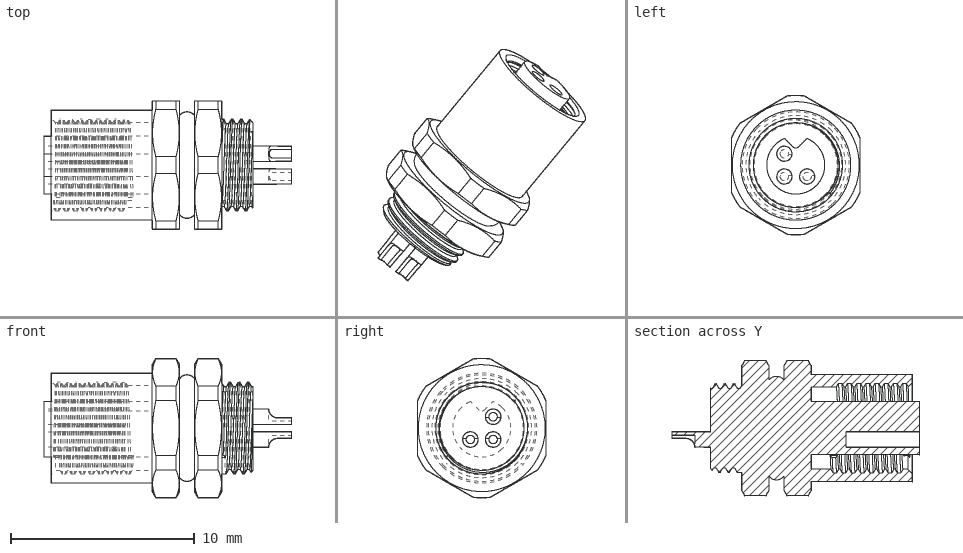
import cadquery as cq
import math


INSERT_FRONT = 0.0
BODY_FRONT = 0.4
FLANGE_FRONT = 5.9
HEX_WIDTH = 1.5
FLANGE_BACK = FLANGE_FRONT + HEX_WIDTH
SEAL_GAP = 0.8
NUT_FRONT = FLANGE_BACK + SEAL_GAP
NUT_BACK = NUT_FRONT + HEX_WIDTH
SHANK_BACK = 11.4
CUP_FRONT = 12.25
CONTACT_BACK = 13.5

BODY_RADIUS = 3.0
BORE_RADIUS = 2.31
BORE_FLOOR = FLANGE_FRONT
BORE_CHAMFER = 0.24

HEX_ACROSS_FLATS = 7.0
HEX_CORNER_RADIUS = 3.805
HEX_CHAMFER_LENGTH = 0.2
HEX_CHAMFER_ANGLE = 60.0

SEAL_SECTION_RADIUS = 0.5
SEAL_OUTER_RADIUS = 2.91

THREAD_RADIUS = 2.5
THREAD_PITCH = 0.5
THREAD_DEPTH = 0.235
THREAD_CREST = 0.09
THREAD_HALF_ANGLE = 30.0
REAR_THREAD_TURNS = 3.5
THREAD_START_ANGLE = -50.0
FRONT_THREAD_TURNS = 8
FRONT_THREAD_LEAD_IN = 0.27
SHANK_CHAMFER = 0.2

INSERT_RADIUS = 1.58
KEY_APEX_Z = 0.84
KEY_BOTTOM_RADIUS = 0.22
SOCKET_RADIUS = 0.41
SOCKET_DEPTH = 4.0

CONTACT_RADIUS = 0.425
CONTACT_OFFSET = 0.62
CONTACTS = [
    (CONTACT_OFFSET, CONTACT_OFFSET),
    (CONTACT_OFFSET, -CONTACT_OFFSET),
    (-CONTACT_OFFSET, -CONTACT_OFFSET),
]
CUP_RADIUS = 0.23
CUP_FLOOR_DROP = 0.055

OVERLAP = 0.5


def cylinder(x_start, x_end, radius, y=0.0, z=0.0):
    """Solid cylinder parallel to X."""
    return cq.Workplane("YZ", origin=(x_start, y, z)).circle(radius).extrude(x_end - x_start)


def revolve_about_x(points):
    """Turn a closed (x, radius) outline around the X axis."""
    return cq.Workplane("XY").polyline(points).close().revolve(360, (0, 0, 0), (1, 0, 0))


def thread_cutter(x_start, turns, open_radius, tip_radius):
    """Left-hand helical groove cutter, widest at open_radius and narrowing to tip_radius."""
    slope = math.tan(math.radians(THREAD_HALF_ANGLE))
    outward = math.copysign(1, open_radius - tip_radius)
    clear_radius = open_radius + outward * THREAD_CREST / 2
    open_half = (THREAD_PITCH - THREAD_CREST) / 2
    tip_half = open_half - abs(open_radius - tip_radius) * slope
    clear_half = open_half + abs(clear_radius - open_radius) * slope
    path = cq.Wire.makeHelix(THREAD_PITCH, turns * THREAD_PITCH, open_radius, lefthand=True)
    profile = cq.Workplane("XZ").polyline([
        (tip_radius, -tip_half),
        (clear_radius, -clear_half),
        (clear_radius, clear_half),
        (tip_radius, tip_half),
    ]).close()
    groove = profile.sweep(cq.Workplane(path), isFrenet=True)
    groove = groove.rotate((0, 0, 0), (0, 1, 0), 90)
    return groove.rotate((0, 0, 0), (1, 0, 0), THREAD_START_ANGLE).translate((x_start, 0, 0))


def hexagon(x_start):
    """Hexagon with corners at +Z and -Z, rounded corners and both faces chamfered by a cone."""
    x_end = x_start + HEX_WIDTH
    corner_diameter = HEX_ACROSS_FLATS / math.cos(math.radians(30))
    prism = cq.Workplane("YZ", origin=(x_start, 0, 0)).polygon(6, corner_diameter).extrude(HEX_WIDTH)
    prism = prism.rotate((0, 0, 0), (1, 0, 0), 30)
    face_radius = HEX_CORNER_RADIUS - HEX_CHAMFER_LENGTH * math.tan(math.radians(HEX_CHAMFER_ANGLE))
    envelope = revolve_about_x([
        (x_start, 0),
        (x_start, face_radius),
        (x_start + HEX_CHAMFER_LENGTH, HEX_CORNER_RADIUS),
        (x_end - HEX_CHAMFER_LENGTH, HEX_CORNER_RADIUS),
        (x_end, face_radius),
        (x_end, 0),
    ])
    return prism.intersect(envelope)


def front_body():
    """Sleeve with an internally threaded, chamfered bore."""
    mouth_radius = BORE_RADIUS + BORE_CHAMFER
    bore = revolve_about_x([
        (BODY_FRONT, 0),
        (BODY_FRONT, mouth_radius),
        (BODY_FRONT + BORE_CHAMFER, BORE_RADIUS),
        (BORE_FLOOR, BORE_RADIUS),
        (BORE_FLOOR, 0),
    ])
    thread = thread_cutter(
        BODY_FRONT + FRONT_THREAD_LEAD_IN, FRONT_THREAD_TURNS, BORE_RADIUS, THREAD_RADIUS
    )
    return cylinder(BODY_FRONT, FLANGE_FRONT, BODY_RADIUS).cut(bore).cut(thread)


def threaded_shank():
    """Shank through the seal and the nut, with the thread that shows behind the nut."""
    shank = revolve_about_x([
        (FLANGE_FRONT, 0),
        (FLANGE_FRONT, THREAD_RADIUS),
        (SHANK_BACK - SHANK_CHAMFER, THREAD_RADIUS),
        (SHANK_BACK, THREAD_RADIUS - SHANK_CHAMFER),
        (SHANK_BACK, 0),
    ])
    thread = thread_cutter(
        NUT_BACK, REAR_THREAD_TURNS, THREAD_RADIUS, THREAD_RADIUS - THREAD_DEPTH
    )
    return shank.cut(thread)


def seal():
    """O-ring centred in the gap and slightly flattened by both faces."""
    center_x = (FLANGE_BACK + NUT_FRONT) / 2
    center_radius = SEAL_OUTER_RADIUS - SEAL_SECTION_RADIUS
    section = cq.Workplane("XY").center(center_x, center_radius).circle(SEAL_SECTION_RADIUS)
    return section.revolve(360, (0, -center_radius, 0), (1, -center_radius, 0))


def insert():
    """Insulator with a V-shaped keyway on top and one blind socket per contact."""
    body = cylinder(INSERT_FRONT, FLANGE_BACK, INSERT_RADIUS)
    keyway = (
        cq.Workplane("YZ")
        .moveTo(0, KEY_APEX_Z)
        .line(INSERT_RADIUS, INSERT_RADIUS)
        .line(-2 * INSERT_RADIUS, 0)
        .close()
        .extrude(BORE_FLOOR)
    )
    keyway = keyway.edges("|X and <Z").fillet(KEY_BOTTOM_RADIUS)
    body = body.cut(keyway)
    for y, z in CONTACTS:
        body = body.cut(cylinder(INSERT_FRONT, SOCKET_DEPTH, SOCKET_RADIUS, y, z))
    return body


def contact(y, z):
    """Rear contact pin with a solder cup opened on the side away from the XY plane."""
    side = math.copysign(1, z)
    pin = cylinder(SHANK_BACK - OVERLAP, CONTACT_BACK, CONTACT_RADIUS, y, z)
    pin = pin.cut(cylinder(CUP_FRONT, CONTACT_BACK, CUP_RADIUS, y, z))
    floor_z = z - side * CUP_FLOOR_DROP
    top_z = z + side * CONTACT_RADIUS
    run_in_radius = CONTACT_RADIUS + CUP_FLOOR_DROP
    floor_x = CUP_FRONT + run_in_radius
    diagonal = run_in_radius * math.cos(math.radians(45))
    opening = (
        cq.Workplane("XZ", origin=(0, y, 0))
        .moveTo(CUP_FRONT, top_z)
        .threePointArc((floor_x - diagonal, top_z - side * diagonal), (floor_x, floor_z))
        .lineTo(CONTACT_BACK, floor_z)
        .lineTo(CONTACT_BACK, top_z)
        .close()
        .extrude(CONTACT_RADIUS, both=True)
    )
    return pin.cut(opening)


result = threaded_shank()
result = result.union(hexagon(FLANGE_FRONT)).union(hexagon(NUT_FRONT))
result = result.union(seal()).union(front_body()).union(insert())
for contact_y, contact_z in CONTACTS:
    result = result.union(contact(contact_y, contact_z))